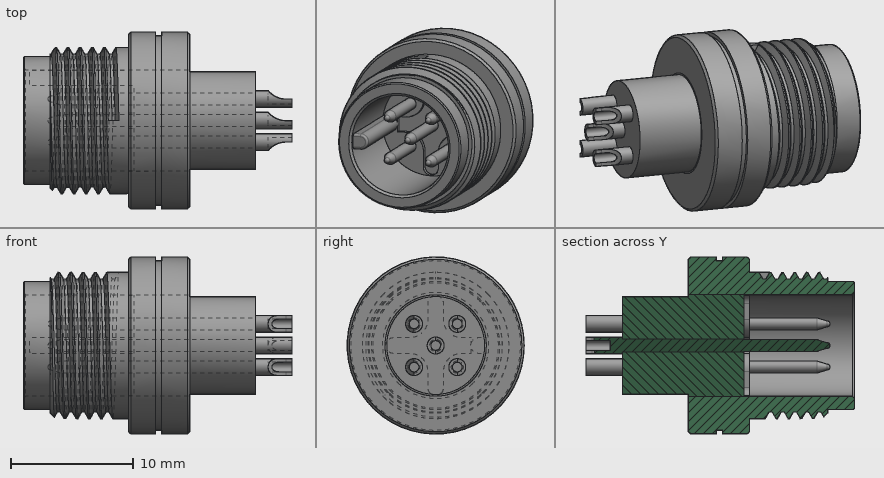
import cadquery as cq
import math


overall_length = 22.0
nose_end = 2.2
flange_front = 8.6
flange_back = 13.62
insulator_back = 19.0
cavity_floor = flange_front

nose_diameter = 10.5
nose_edge_chamfer = 0.1
collar_diameter = 12.0
collar_chamfer = 0.46
flange_diameter = 14.5
flange_chamfer = 0.2
bore_diameter = 8.3
bore_chamfer = 0.2

flange_groove_start = 10.82
flange_groove_width = 0.48
flange_groove_depth = 0.3

thread_start = 1.4
thread_end = 7.4
thread_turns = 6
thread_pitch = (thread_end - thread_start) / thread_turns
thread_half_angle = math.radians(30)
crest_width = thread_pitch / 8
root_width = thread_pitch / 4
thread_depth = (thread_pitch - crest_width - root_width) / (2 * math.tan(thread_half_angle))
thread_overcut = 0.22

barrel_diameter = 8.0
arm_width = 1.28
arm_reach = 4.1
arm_inner_radius = 1.5
recess_depth = 0.45
key_front = 0.5
key_inner_edge = 2.85
key_arm_end = 2.88
key_edge_fillet = 0.2

pin_circle_diameter = 5.0
pin_offset = pin_circle_diameter / 2 * math.sin(math.radians(45))
contact_diameter = 1.0
contact_tip_diameter = 0.48
contact_tip = 2.02
contact_taper_end = 3.08
cup_diameter = 1.39
cup_bore_diameter = 0.8
cup_bore_depth = 2.0
cup_flat_start = 21.5
cup_run_out_radius = 1.9

pin_places = [(0, 0, 1)]
for side in (1, -1):
    for level in (1, -1):
        pin_places.append((side * pin_offset, level * pin_offset, side))


def cylinder_x(start, end, diameter, y=0, z=0):
    """Solid cylinder along X between two stations."""
    face = cq.Workplane("YZ", origin=(start, y, z))
    return face.circle(diameter / 2).extrude(end - start)


def make_thread_groove():
    """Helical groove whose far end stops abruptly at the top of the collar."""
    root_radius = collar_diameter / 2 - thread_depth
    outer_radius = collar_diameter / 2 + thread_overcut
    half_root = root_width / 2
    half_outer = half_root + (outer_radius - root_radius) * math.tan(thread_half_angle)

    helix = cq.Wire.makeHelix(thread_pitch, thread_end - thread_start, root_radius)
    profile = cq.Workplane("XZ").polyline([
        (root_radius, -half_root),
        (outer_radius, -half_outer),
        (outer_radius, half_outer),
        (root_radius, half_root),
    ]).close()
    groove = profile.sweep(cq.Workplane(helix), isFrenet=True).val()
    axis_plane = cq.Plane(origin=(thread_start, 0, 0), xDir=(0, 0, 1), normal=(1, 0, 0))
    return groove.moved(cq.Location(axis_plane))


def make_housing():
    nose = cylinder_x(0, nose_end, nose_diameter).faces("<X").chamfer(nose_edge_chamfer)
    collar = cylinder_x(nose_end, flange_front, collar_diameter).faces("<X").chamfer(collar_chamfer)
    collar = collar.cut(cq.Workplane(make_thread_groove()))
    flange = cylinder_x(flange_front, flange_back, flange_diameter)
    flange = flange.faces("<X or >X").chamfer(flange_chamfer)

    groove_end = flange_groove_start + flange_groove_width
    groove_floor_diameter = flange_diameter - 2 * flange_groove_depth
    flange_groove = cylinder_x(flange_groove_start, groove_end, flange_diameter)
    flange_groove = flange_groove.cut(
        cylinder_x(flange_groove_start, groove_end, groove_floor_diameter)
    )

    housing = nose.union(collar).union(flange).cut(flange_groove)
    housing = housing.cut(cylinder_x(0, flange_back, bore_diameter))
    entry = cq.Solid.makeCone(
        bore_diameter / 2 + bore_chamfer, bore_diameter / 2, bore_chamfer,
        cq.Vector(0, 0, 0), cq.Vector(1, 0, 0),
    )
    return housing.cut(cq.Workplane(entry))


def make_cross_recess():
    """Cross-shaped pocket in the cavity floor; the arm under the key ends square at the key."""
    face = cq.Workplane("YZ", origin=(cavity_floor, 0, 0))
    arm = face.slot2D(2 * arm_reach, arm_width).extrude(recess_depth)
    crossing_arm = face.slot2D(2 * arm_reach, arm_width, 90).extrude(recess_depth)

    corner = arm_width / 2 + arm_inner_radius
    centre = face.rect(2 * corner, 2 * corner).extrude(recess_depth)
    rounds = face.rect(2 * corner, 2 * corner, forConstruction=True).vertices()
    centre = centre.cut(rounds.circle(arm_inner_radius).extrude(recess_depth))

    key_side = face.center(key_arm_end + arm_reach / 2, 0).rect(arm_reach, 2 * arm_width)
    return arm.union(crossing_arm).union(centre).cut(key_side.extrude(recess_depth))


def make_key():
    """Coding key along the bore wall, with a round inner edge and a filleted front."""
    key_end = cavity_floor + recess_depth
    round_centre = key_inner_edge + arm_width / 2
    outer_edge = bore_diameter / 2 + key_edge_fillet
    key = (
        cq.Workplane("YZ", origin=(key_front, 0, 0))
        .moveTo(outer_edge, arm_width / 2)
        .lineTo(round_centre, arm_width / 2)
        .threePointArc((key_inner_edge, 0), (round_centre, -arm_width / 2))
        .lineTo(outer_edge, -arm_width / 2)
        .close()
        .extrude(key_end - key_front)
    )
    key = key.faces("<X").edges("not >Y").fillet(key_edge_fillet)
    return key.intersect(cylinder_x(key_front, key_end, bore_diameter))


def make_insulator():
    plug = cylinder_x(cavity_floor, flange_back, bore_diameter)
    barrel = cylinder_x(flange_back, insulator_back, barrel_diameter)
    insulator = plug.union(barrel).cut(make_cross_recess()).union(make_key())
    for y, z, _ in pin_places:
        insulator = insulator.cut(cylinder_x(cavity_floor, insulator_back, contact_diameter, y, z))
    return insulator


def make_pin(y, z, opening):
    """Pin with a tapered round-nosed contact and a solder cup open towards +Y or -Y."""
    contact_radius = contact_diameter / 2
    tip_radius = contact_tip_diameter / 2
    cup_radius = cup_diameter / 2
    nose_centre = contact_tip + tip_radius
    nose_mid = tip_radius * math.sin(math.radians(45))
    pin = (
        cq.Workplane("XY")
        .moveTo(contact_tip, 0)
        .threePointArc((nose_centre - nose_mid, nose_mid), (nose_centre, tip_radius))
        .lineTo(contact_taper_end, contact_radius)
        .lineTo(insulator_back, contact_radius)
        .lineTo(insulator_back, cup_radius)
        .lineTo(overall_length, cup_radius)
        .lineTo(overall_length, 0)
        .close()
        .revolve(360, (0, 0, 0), (1, 0, 0))
    )
    pin = pin.cut(cylinder_x(overall_length - cup_bore_depth, overall_length, cup_bore_diameter))

    run_out = cq.Workplane("XY").center(cup_flat_start, cup_run_out_radius)
    run_out = run_out.circle(cup_run_out_radius).extrude(cup_radius, both=True)
    flat_length = overall_length - cup_flat_start
    flat = cq.Workplane("XY").moveTo(cup_flat_start, 0)
    flat = flat.rect(flat_length, cup_run_out_radius, centered=False).extrude(cup_radius, both=True)
    pin = pin.cut(run_out).cut(flat)

    if opening < 0:
        pin = pin.rotate((0, 0, 0), (1, 0, 0), 180)
    return pin.translate((0, y, z))


housing = make_housing()
insulator = make_insulator()
pins = [make_pin(*place).val() for place in pin_places]

result = cq.Compound.makeCompound([housing.val(), insulator.val(), *pins])